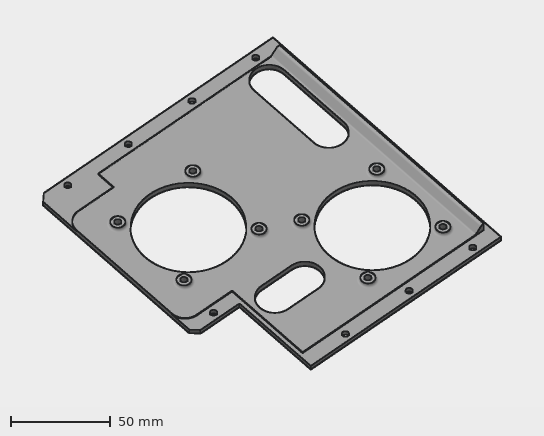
import cadquery as cq
import math

plate_length = 172.5
plate_width = 156.8
plate_thickness = 3.0
foot_length = 118.5
step_height = 30.0
foot_chamfer = 4.0

panel_thickness = 0.7
panel_top = plate_thickness + panel_thickness
panel_margin = 9.0
panel_rear_gap = 3.5
panel_step = 32.5
tongue_left = 20.5
tongue_right = 110.3
tongue_corner_radius = 9.0

part_height = 7.8
rib_crest = 0.7
rib_crest_radius = 2.0
rib_toe_radius = 1.5
rib_slope = math.radians(45)

screw_diameter = 3.6
screw_inset = 4.1
side_screw_places = [56.8, 99.2, 141.7]
foot_screw_place = 16.4

fan_centers = [(65.0, 43.1), (125.0, 113.0)]
fan_diameter = 58.0
boss_pitch = 50.0
boss_diameter = 7.6
boss_height = 1.7
boss_fillet = boss_height

slot_width = 20.0
rear_slot_length = 65.0
rear_slot_center = (42.6, 136.7)
side_slot_length = 40.0
side_slot_center = (127.7, 55.5)


def make_plate():
    outline = [
        (0, 0),
        (foot_length, 0),
        (foot_length, step_height),
        (plate_length, step_height),
        (plate_length, plate_width),
        (0, plate_width),
    ]
    plate = cq.Workplane("XY").polyline(outline).close().extrude(plate_thickness)
    foot_corners = cq.selectors.BoxSelector((-1.7, -1.7, -1.7), (foot_length + 1.7, 1.7, part_height))
    return plate.edges("|Z").edges(foot_corners).chamfer(foot_chamfer)


def make_panel():
    right = plate_length - panel_margin
    rear = plate_width - panel_rear_gap
    outline = [
        (tongue_left, 0),
        (tongue_right, 0),
        (tongue_right, panel_step),
        (right, panel_step),
        (right, rear),
        (panel_margin, rear),
        (panel_margin, panel_step),
        (tongue_left, panel_step),
    ]
    panel = cq.Workplane("XY").workplane(offset=plate_thickness)
    panel = panel.polyline(outline).close().extrude(panel_thickness)
    return panel.edges("|Z and <Y").fillet(tongue_corner_radius)


def make_rib():
    """Rib with an upright rear face and a front that rounds over, slopes down and sweeps into the panel."""

    def arc_drop(radius, angle):
        return radius * (1 - math.cos(angle))

    def arc_run(radius, angle):
        return radius * math.sin(angle)

    half_slope = rib_slope / 2
    rear = plate_width - panel_rear_gap
    crest_y = rear - rib_crest
    slope_top_y = crest_y - arc_run(rib_crest_radius, rib_slope)
    slope_top_z = part_height - arc_drop(rib_crest_radius, rib_slope)
    slope_bottom_z = panel_top + arc_drop(rib_toe_radius, rib_slope)
    slope_bottom_y = slope_top_y - (slope_top_z - slope_bottom_z) / math.tan(rib_slope)
    toe_y = slope_bottom_y - arc_run(rib_toe_radius, rib_slope)
    crest_middle = (
        crest_y - arc_run(rib_crest_radius, half_slope),
        part_height - arc_drop(rib_crest_radius, half_slope),
    )
    toe_middle = (
        toe_y + arc_run(rib_toe_radius, half_slope),
        panel_top + arc_drop(rib_toe_radius, half_slope),
    )
    profile = (
        cq.Workplane("YZ").workplane(offset=panel_margin)
        .moveTo(rear, plate_thickness)
        .lineTo(rear, part_height)
        .lineTo(crest_y, part_height)
        .threePointArc(crest_middle, (slope_top_y, slope_top_z))
        .lineTo(slope_bottom_y, slope_bottom_z)
        .threePointArc(toe_middle, (toe_y, panel_top))
        .lineTo(toe_y, plate_thickness)
        .close()
    )
    return profile.extrude(plate_length - 2 * panel_margin)


def boss_centers():
    half = boss_pitch / 2
    return [(x + i * half, y + j * half) for x, y in fan_centers for i in (-1, 1) for j in (-1, 1)]


def make_boss():
    """Round boss whose side is a concave fillet that flares out onto the panel."""
    radius = boss_diameter / 2
    flare_radius = radius + boss_fillet
    fillet_middle = boss_fillet * (1 - math.sqrt(0.5))
    profile = (
        cq.Workplane("XZ")
        .moveTo(0, plate_thickness)
        .lineTo(flare_radius, plate_thickness)
        .lineTo(flare_radius, panel_top)
        .threePointArc(
            (radius + fillet_middle, panel_top + fillet_middle),
            (radius, panel_top + boss_height),
        )
        .lineTo(0, panel_top + boss_height)
        .close()
    )
    return profile.revolve(360, (0, 0), (0, 1))


def make_bosses():
    boss = make_boss().val()
    return cq.Workplane("XY").pushPoints(boss_centers()).eachpoint(boss.moved)


def drill(body, centers, diameter):
    holes = cq.Workplane("XY").pushPoints(centers).circle(diameter / 2)
    return body.cut(holes.extrude(part_height))


def cut_slot(body, center, length, angle):
    slot = cq.Workplane("XY").center(*center).slot2D(length, slot_width, angle)
    return body.cut(slot.extrude(part_height))


screw_centers = [(x, y) for x in (screw_inset, plate_length - screw_inset) for y in side_screw_places]
screw_centers += [(x, foot_screw_place) for x in (screw_inset, foot_length - screw_inset)]

result = make_plate().union(make_panel()).union(make_rib()).union(make_bosses())
result = drill(result, screw_centers + boss_centers(), screw_diameter)
result = drill(result, fan_centers, fan_diameter)
result = cut_slot(result, rear_slot_center, rear_slot_length, 0)
result = cut_slot(result, side_slot_center, side_slot_length, 90)